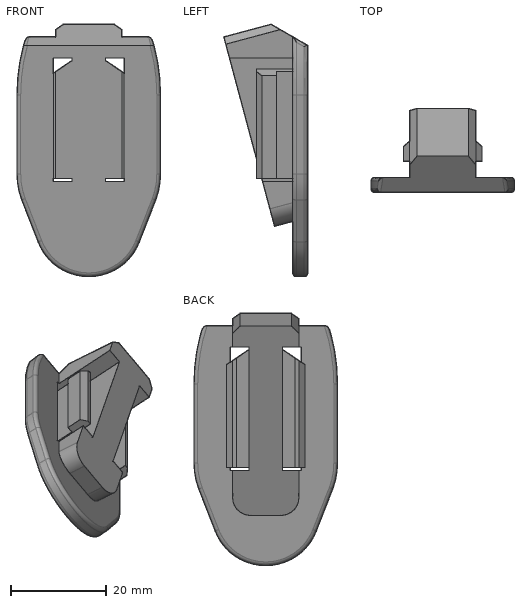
import cadquery as cq
import math


plate_width = 30.2
plate_half_width = plate_width / 2
plate_thickness = 3.2
tip_radius = 11.4
flank_angle = math.radians(21)
straight_bottom = 21.55
straight_top = 38.2
lower_arc_radius = 15.15
upper_arc_radius = 39.8
edge_radius = 0.8

total_height = 53.1
total_depth = 17.7
body_half_width = 6.95
body_tilt = math.radians(15)
top_slope = math.radians(30)
slope_front_height = 48.65
body_top_chamfer = 1.6
body_bottom_radius = 3.8
body_length = 41.25

recess_inner = 3.55
recess_outer = 7.45
recess_bottom = 20.05
recess_top = 46.0
catch_gap = 0.55
catch_half_width = 8.3
catch_underside = 6.55
catch_back = 10.85
catch_chamfer_y = 1.15
catch_outer_height = 42.25
catch_slope = math.radians(34)
arm_thickness = 0.8
web_thickness = 1.05


def top_slope_height(y):
    """Height of the sloping top face at depth y."""
    return slope_front_height + y * math.tan(top_slope)


def tangent_arc_point(radius, angle, start_z, direction):
    """Point on the arc that leaves the straight side tangentially."""
    x = plate_half_width - radius * (1 - math.cos(angle))
    return x, start_z + direction * radius * math.sin(angle)


def make_plate():
    top = top_slope_height(plate_thickness)
    top_angle = math.asin((top - straight_top) / upper_arc_radius)
    upper_mid = tangent_arc_point(upper_arc_radius, top_angle / 2, straight_top, 1)
    upper_end = tangent_arc_point(upper_arc_radius, top_angle, straight_top, 1)
    lower_mid = tangent_arc_point(lower_arc_radius, flank_angle / 2, straight_bottom, -1)
    lower_end = tangent_arc_point(lower_arc_radius, flank_angle, straight_bottom, -1)
    tip_x = tip_radius * math.cos(flank_angle)
    tip_z = tip_radius * (1 - math.sin(flank_angle))

    def mirrored(point):
        return -point[0], point[1]

    plate = (
        cq.Workplane("XZ")
        .moveTo(*mirrored(upper_end))
        .lineTo(*upper_end)
        .threePointArc(upper_mid, (plate_half_width, straight_top))
        .lineTo(plate_half_width, straight_bottom)
        .threePointArc(lower_mid, lower_end)
        .lineTo(tip_x, tip_z)
        .threePointArc((0, 0), (-tip_x, tip_z))
        .lineTo(*mirrored(lower_end))
        .threePointArc(mirrored(lower_mid), (-plate_half_width, straight_bottom))
        .lineTo(-plate_half_width, straight_top)
        .threePointArc(mirrored(upper_mid), mirrored(upper_end))
        .close()
        .extrude(-plate_thickness)
    )
    above_slope = (
        cq.Workplane("YZ")
        .polyline([(0, slope_front_height), (plate_thickness, top), (0, top)])
        .close()
        .extrude(plate_half_width, both=True)
    )
    plate = plate.cut(above_slope)
    return plate.edges("not(|X or |Y)").fillet(edge_radius)


def make_body():
    peak_y = (total_height - slope_front_height) / math.tan(top_slope)
    back_top_z = total_height - (total_depth - peak_y) * math.tan(body_tilt)
    back_bottom_y = total_depth - body_length * math.sin(body_tilt)
    back_bottom_z = back_top_z - body_length * math.cos(body_tilt)
    root_y = plate_thickness / 2
    root_bottom_z = back_bottom_z + (back_bottom_y - root_y) * math.tan(body_tilt)
    body = (
        cq.Workplane("YZ")
        .polyline([
            (root_y, root_bottom_z),
            (root_y, top_slope_height(root_y)),
            (peak_y, total_height),
            (total_depth, back_top_z),
            (back_bottom_y, back_bottom_z),
        ])
        .close()
        .extrude(body_half_width, both=True)
    )
    tilted = cq.Vector(0, math.cos(body_tilt), -math.sin(body_tilt))
    along_tilt = cq.selectors.ParallelDirSelector(tilted)
    body = body.edges(along_tilt).edges(">Z").chamfer(body_top_chamfer)
    return body.edges(along_tilt).edges("<Z").fillet(body_bottom_radius)


def make_recess():
    return cq.Workplane("XY").box(
        recess_outer - recess_inner, total_depth, recess_top - recess_bottom, centered=False
    ).translate((recess_inner, 0, recess_bottom))


def catch_block(inner_x, outer_x, start_y, end_y):
    """Block above the catch gap whose top slopes down towards outer_x."""
    bottom = recess_bottom + catch_gap

    def slope_height(x):
        return catch_outer_height + (catch_half_width - x) * math.tan(catch_slope)

    return (
        cq.Workplane("XZ", origin=(0, start_y, 0))
        .polyline([
            (inner_x, bottom),
            (outer_x, bottom),
            (outer_x, slope_height(outer_x)),
            (inner_x, slope_height(inner_x)),
        ])
        .close()
        .extrude(start_y - end_y)
    )


def make_catch():
    """Thin front web carrying a springy arm with a barbed head."""
    arm_inner = body_half_width - arm_thickness
    web = catch_block(recess_inner, body_half_width, 0, web_thickness)
    arm = catch_block(arm_inner, body_half_width, 0, catch_back)
    head = catch_block(arm_inner, catch_half_width, catch_underside, catch_back)
    corner = (
        cq.Workplane("XY")
        .polyline([
            (body_half_width, catch_back),
            (catch_half_width, catch_back - catch_chamfer_y),
            (catch_half_width, catch_back),
        ])
        .close()
        .extrude(total_height)
    )
    return web.union(arm).union(head.cut(corner))


result = make_plate().union(make_body())
recess = make_recess()
catch = make_catch()
result = result.cut(recess).cut(recess.mirror("YZ"))
result = result.union(catch).union(catch.mirror("YZ"))